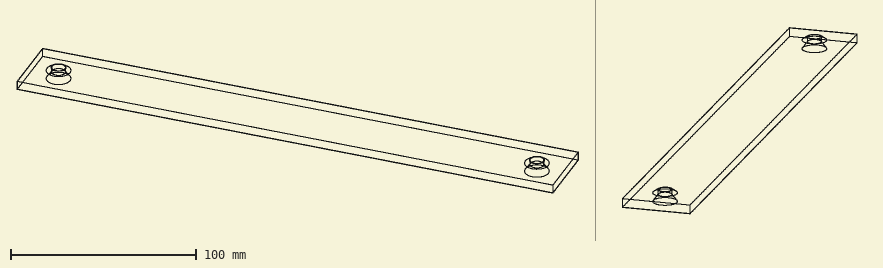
import cadquery as cq

length = 309.5
width = 38.0
thickness = 5.0
overall_height = 6.8

hole_spacing = 276.5
hole_diameter = 7.5
collar_base_diameter = 13.3
collar_top_diameter = 8.0
collar_height = overall_height - thickness

countersink_diameter = collar_base_diameter
countersink_depth = 4.0


def make_cone(x, z, bottom_diameter, top_diameter, height):
    """Truncated vertical cone whose lower face is centred at (x, 0, z)."""
    return (
        cq.Workplane("XY", origin=(x, 0, z))
        .circle(bottom_diameter / 2)
        .workplane(offset=height)
        .circle(top_diameter / 2)
        .loft(ruled=True)
    )


def make_collar(x):
    """Tapered collar standing on the strip."""
    return make_cone(x, thickness, collar_base_diameter, collar_top_diameter, collar_height)


def make_hole(x):
    """Cylinder through strip and collar, flaring out towards the underside."""
    bore = cq.Workplane("XY", origin=(x, 0, 0)).circle(hole_diameter / 2).extrude(overall_height)
    countersink = make_cone(x, 0, countersink_diameter, hole_diameter, countersink_depth)
    return bore.union(countersink)


result = cq.Workplane("XY").box(length, width, thickness, centered=(True, True, False))
for hole_x in (-hole_spacing / 2, hole_spacing / 2):
    result = result.union(make_collar(hole_x)).cut(make_hole(hole_x))